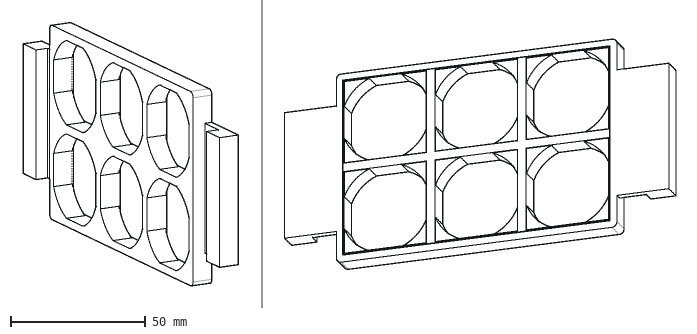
import cadquery as cq

overall_length = 152.0
overall_thickness = 8.5

columns = 3
rows = 2
pitch = 36.0
opening_size = 32.5
opening_diameter = 35.0

frame_length = 111.0
frame_height = 75.0
corner_radius = 2.0

pad_height = 0.5
pad_inset = 2.7
body_thickness = overall_thickness - pad_height

arm_height = 50.0
arm_thickness = 3.0
grip_width = 10.0


def slab(length, height, front, back):
    """Box centred in X and Z that spans Y from front to back."""
    return cq.Workplane("XY").box(length, back - front, height).translate((0, (front + back) / 2, 0))


def cut_grid(body, cutter):
    """Cut one copy of the cutter at every place of the grid."""
    for column in range(columns):
        for row in range(rows):
            x = (column - (columns - 1) / 2) * pitch
            z = (row - (rows - 1) / 2) * pitch
            body = body.cut(cutter.translate((x, 0, z)))
    return body


def make_plate():
    """Rounded plate with round openings that have four flats."""
    plate = slab(frame_length, frame_height, 0, body_thickness)
    plate = plate.edges("|Y").fillet(corner_radius)
    square = slab(opening_size, opening_size, 0, body_thickness)
    cylinder = cq.Workplane("XZ").circle(opening_diameter / 2).extrude(-body_thickness)
    return cut_grid(plate, square.intersect(cylinder))


def make_pad():
    """Thin sheet behind the plate with square openings."""
    pad_length = frame_length - 2 * pad_inset
    pad_width = frame_height - 2 * pad_inset
    pad = slab(pad_length, pad_width, body_thickness, overall_thickness)
    window = slab(opening_size, opening_size, body_thickness, overall_thickness)
    return cut_grid(pad, window)


def make_arm(side):
    """Thin bar from the plate out to a grip block, on the side given by the sign."""
    arm_length = (overall_length - frame_length) / 2
    arm = slab(arm_length, arm_height, body_thickness - arm_thickness, body_thickness)
    arm = arm.translate((side * (overall_length - arm_length) / 2, 0, 0))
    grip = slab(grip_width, arm_height, 0, body_thickness)
    grip = grip.translate((side * (overall_length - grip_width) / 2, 0, 0))
    return arm.union(grip)


result = make_plate().union(make_pad())
for side in (-1, 1):
    result = result.union(make_arm(side))